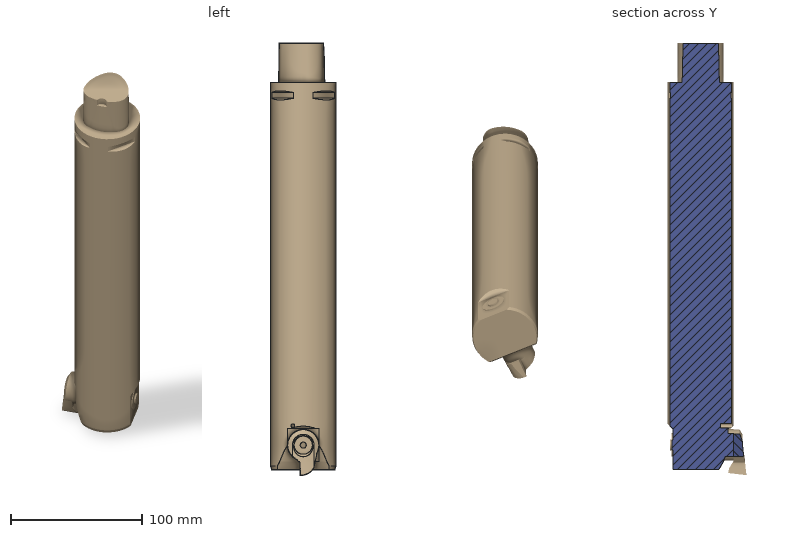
import cadquery as cq
import math


bar_radius = 50.0 / 2
bar_bottom = 4.3
bottom_chamfer_height = 3.0
bottom_chamfer_inset = 1.0
shoulder_z = 300.0
total_height = 330

shank_height = total_height - shoulder_z
flat_half_angle = 35
base_flat_reach = 16.5
base_corner_reach = 17.5
base_lobe_reach = 18.8
top_flat_reach = 16.0
top_corner_reach = 17.0
top_lobe_reach = 18.5
key_diameter = 8.0
key_center_y = -16.8
key_depth = 5.3

slot_count = 4
slot_first_angle = 45
slot_center_z = 290.0
slot_floor_distance = 22.0
slot_floor_height = 4.3
slot_mouth_height = 7.0

flat_x = 21.5
flat_top_z = 35.5
flat_disc_diameter = 17.8
flat_disc_height = 0.5

seat_z = 23
seat_diameter = 24.0
seat_radius = seat_diameter / 2
seat_face_x = -bar_radius
upper_floor_x = -21.0
lower_floor_x = -17.5
pocket_bottom_z = 10.5
pocket_top_z = 35.5
pocket_top_slope_x = -23
relief_top_z = 31.5
relief_bottom_x = -14.0
coolant_diameter = 2.8
coolant_y = 8.0
coolant_z = 38.0
coolant_depth = 10

insert_radius = 12.0
face_radius = 8.2
insert_rim_x = -29.7
insert_face_x = -32.0
insert_crest_x = -32.7
tip_x = -35.0
rake_y = 2.3
web_bottom_z = 9.5
web_top_y = 9.0
web_top_z = seat_z - math.sqrt(insert_radius**2 - web_top_y**2)
stem_clearance_y = -8.0
tip_clearance_z = 5.3
clearance_mid_y = -4.5
clearance_mid_z = 2.0
tip_heel_x = -21.0
tip_heel_z = 1.5
tip_heel_inset = 0.5

head_diameter = 14.0
head_face_x = -31.7
head_height = 4.5
screw_diameter = 8.5
screw_end_x = 23.5
socket_diameter = 4.5
socket_depth = 2.5

overcut = 6.5
embed = 3.3


def rod_along_x(diameter, start_x, end_x, y=0, z=seat_z):
    """Cylinder parallel to X between two X positions."""
    return (
        cq.Workplane("YZ", origin=(start_x, y, z))
        .circle(diameter / 2)
        .extrude(end_x - start_x)
    )


def prism_across_y(points, half_width):
    """Prism with an XZ outline, centred on Y = 0."""
    return cq.Workplane("XZ").polyline(points).close().extrude(half_width, both=True)


def polar(radius, angle):
    """X and Y of a point at a radius and an angle in degrees."""
    return (radius * math.cos(math.radians(angle)), radius * math.sin(math.radians(angle)))


def shank_outline(workplane, flat_reach, corner_reach, lobe_reach):
    """Closed outline of three flat arcs and three lobe arcs, from their distances to the axis."""
    outline = workplane.moveTo(*polar(corner_reach, 270 - flat_half_angle))
    for side in range(3):
        flat_angle = 270 + 120 * side
        outline = outline.threePointArc(
            polar(flat_reach, flat_angle), polar(corner_reach, flat_angle + flat_half_angle)
        ).threePointArc(
            polar(lobe_reach, flat_angle + 60),
            polar(corner_reach, flat_angle + 120 - flat_half_angle),
        )
    return outline.close()


def make_shank():
    """Tapered shank with a round key slot at its top edge."""
    base = shank_outline(
        cq.Workplane("XY", origin=(0, 0, shoulder_z)),
        base_flat_reach,
        base_corner_reach,
        base_lobe_reach,
    )
    shank = shank_outline(
        base.workplane(offset=shank_height), top_flat_reach, top_corner_reach, top_lobe_reach
    ).loft(ruled=True)
    key_slot = (
        cq.Workplane("XY", origin=(0, key_center_y, total_height - key_depth))
        .circle(key_diameter / 2)
        .extrude(key_depth + overcut)
    )
    return shank.cut(key_slot)


def gripper_slot(angle):
    """Straight slot with flared walls, cut square to one radius of the bar."""
    flare = (slot_mouth_height - slot_floor_height) / 2 / (bar_radius - slot_floor_distance)
    outer_distance = bar_radius + overcut
    floor_half = slot_floor_height / 2
    outer_half = floor_half + flare * (outer_distance - slot_floor_distance)
    return prism_across_y(
        [
            (slot_floor_distance, slot_center_z - floor_half),
            (slot_floor_distance, slot_center_z + floor_half),
            (outer_distance, slot_center_z + outer_half),
            (outer_distance, slot_center_z - outer_half),
        ],
        bar_radius,
    ).rotate((0, 0, 0), (0, 0, 1), angle)


def back_flat():
    """Flat on the +X side that runs out at 45 degrees."""
    outer_x = bar_radius + overcut
    return prism_across_y(
        [
            (flat_x, 0),
            (flat_x, flat_top_z),
            (outer_x, flat_top_z + outer_x - flat_x),
            (outer_x, 0),
        ],
        bar_radius,
    )


def front_relief():
    """Two sloping faces that thin the -X side towards the bottom."""
    outer_x = -bar_radius - overcut
    return prism_across_y(
        [
            (-bar_radius, relief_top_z),
            (lower_floor_x, pocket_bottom_z),
            (relief_bottom_x, bar_bottom),
            (relief_bottom_x, 0),
            (outer_x, 0),
            (outer_x, relief_top_z),
        ],
        bar_radius,
    )


def insert_pocket():
    """Pocket around the seat: full width above its centre, open on the -Y side below it."""
    outer_x = -bar_radius - overcut
    upper = prism_across_y(
        [
            (upper_floor_x, seat_z),
            (upper_floor_x, pocket_top_z),
            (pocket_top_slope_x, pocket_top_z),
            (outer_x, pocket_top_z + pocket_top_slope_x - outer_x),
            (outer_x, seat_z),
        ],
        seat_radius,
    )
    lower = cq.Workplane("XY").box(
        lower_floor_x - outer_x, seat_radius, seat_z - pocket_bottom_z, centered=False
    ).translate((outer_x, -seat_radius, pocket_bottom_z))
    return upper.union(lower)


def make_bar():
    """Bar with shank, slots, flat, insert seat and the bore for the screw."""
    bar = (
        cq.Workplane("XY", origin=(0, 0, bar_bottom))
        .circle(bar_radius)
        .extrude(shoulder_z - bar_bottom)
        .faces("<Z")
        .chamfer(bottom_chamfer_height, bottom_chamfer_inset)
    )
    bar = bar.union(make_shank())
    for index in range(slot_count):
        bar = bar.cut(gripper_slot(slot_first_angle + 360 / slot_count * index))
    bar = bar.cut(back_flat()).cut(front_relief()).cut(insert_pocket())
    bar = bar.cut(
        rod_along_x(coolant_diameter, -bar_radius, -bar_radius + coolant_depth, coolant_y, coolant_z)
    )
    bar = bar.union(rod_along_x(seat_diameter, seat_face_x, lower_floor_x + embed))
    bar = bar.union(rod_along_x(flat_disc_diameter, flat_x - embed, flat_x + flat_disc_height))
    return bar.cut(rod_along_x(screw_diameter, seat_face_x, screw_end_x))


def stem_outline():
    """Side outline of the stem: straight rake face and sloping web on +Y, curved clearance on -Y."""
    return (
        cq.Workplane("YZ", origin=(tip_x, 0, 0))
        .moveTo(rake_y, 0)
        .lineTo(rake_y, web_bottom_z)
        .lineTo(web_top_y, web_top_z)
        .lineTo(web_top_y, seat_z)
        .lineTo(-insert_radius, seat_z)
        .lineTo(stem_clearance_y, tip_clearance_z)
        .threePointArc((clearance_mid_y, clearance_mid_z), (rake_y, 0))
        .close()
        .extrude(tip_heel_x - tip_x)
    )


def stem_thickness():
    """Flared end outline of the stem, thickest at the tip, with a full-width disc half above."""
    return prism_across_y(
        [
            (tip_x, 0),
            (tip_heel_x, tip_heel_z),
            (tip_heel_x - tip_heel_inset, tip_clearance_z),
            (seat_face_x, pocket_bottom_z),
            (seat_face_x, seat_z),
            (tip_x, seat_z),
        ],
        seat_radius,
    )


def front_section(workplane, shift_x):
    """XY section under the crowned front face, moved along X."""
    return (
        workplane.moveTo(tip_heel_x, -insert_radius)
        .lineTo(insert_rim_x + shift_x, -insert_radius)
        .lineTo(insert_face_x + shift_x, -face_radius)
        .threePointArc(
            (insert_crest_x + shift_x, rake_y), (insert_face_x + shift_x, face_radius)
        )
        .lineTo(insert_rim_x + shift_x, insert_radius)
        .lineTo(tip_heel_x, insert_radius)
        .close()
    )


def leaning_front():
    """Envelope below the disc centre whose front face leans out to the tip."""
    tip_section = front_section(cq.Workplane("XY"), tip_x - insert_crest_x)
    return front_section(tip_section.workplane(offset=seat_z), 0).loft(ruled=True)


def countersink():
    """45-degree cone that opens from the screw head to beyond the front face."""
    depth = head_face_x - tip_x
    return (
        cq.Workplane("YZ", origin=(head_face_x, 0, seat_z))
        .circle(head_diameter / 2)
        .workplane(offset=-depth)
        .circle(head_diameter / 2 + depth)
        .loft()
    )


def make_insert():
    """Disc with a coned upper half, a leaning lower half and a cutting stem, bored for the screw."""
    disc = rod_along_x(2 * insert_radius, insert_face_x, seat_face_x)
    coned_disc = disc.faces("<X").chamfer(
        insert_rim_x - insert_face_x, insert_radius - face_radius
    )
    above_centre = prism_across_y(
        [
            (tip_x, seat_z),
            (seat_face_x, seat_z),
            (seat_face_x, seat_z + seat_radius),
            (tip_x, seat_z + seat_radius),
        ],
        seat_radius,
    )
    upper_half = coned_disc.intersect(above_centre)
    lower_half = rod_along_x(2 * insert_radius, tip_x, seat_face_x).intersect(leaning_front())
    stem = stem_outline().intersect(stem_thickness()).intersect(leaning_front())
    insert = upper_half.union(lower_half).union(stem)
    insert = insert.cut(rod_along_x(screw_diameter, tip_x, seat_face_x))
    insert = insert.cut(rod_along_x(head_diameter, tip_x, head_face_x + head_height))
    return insert.cut(countersink())


def make_screw():
    """Screw with a round socket; its end stands out of the back flat."""
    screw = rod_along_x(head_diameter, head_face_x, head_face_x + head_height)
    screw = screw.union(rod_along_x(screw_diameter, head_face_x, screw_end_x))
    return screw.cut(rod_along_x(socket_diameter, head_face_x, head_face_x + socket_depth))


bar = make_bar()
insert = make_insert()
screw = make_screw()

result = cq.Compound.makeCompound([bar.val(), insert.val(), screw.val()])